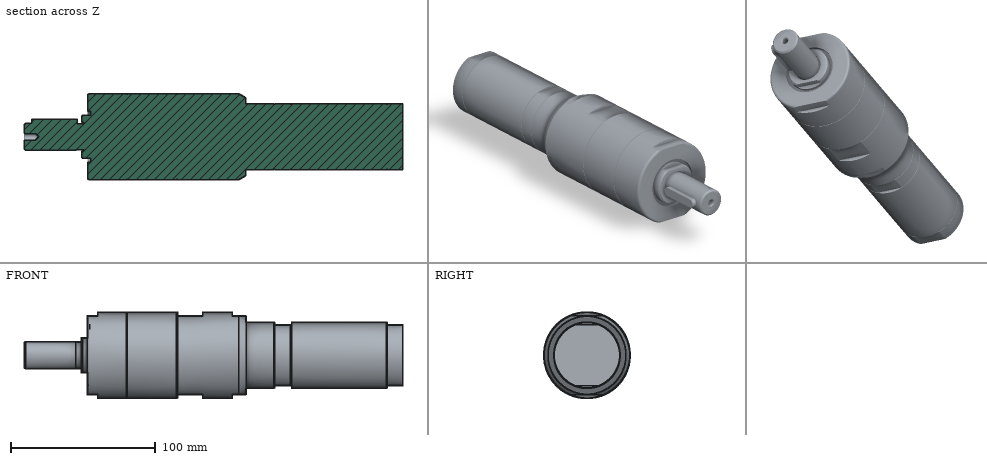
import cadquery as cq

length = 263.0
shaft_relief_start = 36.0
flange_start = 39.7
body_start = 44.0
front_flats_end = 51.0
front_joint = 71.0
middle_flats_start = 105.7
middle_flats_end = 124.0
rear_flats_start = 144.6
rear_bevel_start = 149.0
body_end = 154.0
neck_flats_start = 173.3
neck_flats_end = 185.7
end_flats_start = 251.5

shaft_diameter = 19.0
relief_diameter = 18.7
flange_diameter = 30.0
body_diameter = 60.0
body_rear_diameter = 54.2
tail_diameter = 46.0

flange_across_flats = 24.2
body_across_flats = 54.7
tail_across_flats = 42.0

shaft_chamfer = 1.0
flange_chamfer = 1.0
body_front_fillet = 1.5
joint_width = 0.8
joint_depth = 0.3

recess_diameter = 35.0
recess_depth = 2.0

bore_diameter = 20.0
bore_depth = 1.5

overlap = 2.5

key_start = 5.0
key_length = 32.0
key_width = 6.0
key_top = 12.4

centre_mouth_diameter = 5.5
centre_diameter = 4.2
centre_depth = 8.0


def cylinder(start, end, diameter):
    """Solid cylinder about the X axis between two stations."""
    return cq.Workplane("YZ", origin=(start, 0, 0)).circle(diameter / 2).extrude(end - start)


def cut_flats(solid, start, end, across):
    """Cut a pair of flats facing +Z and -Z between two stations."""
    for side in (1, -1):
        waste = cq.Workplane("XY").box(end - start, body_diameter, body_diameter)
        waste = waste.translate(((start + end) / 2, 0, side * (across + body_diameter) / 2))
        solid = solid.cut(waste)
    return solid


def cut_joint(solid, start, diameter):
    """Cut a shallow groove that marks the joint between two housings."""
    band = cylinder(start, start + joint_width, diameter + overlap)
    core = cylinder(start, start + joint_width, diameter - 2 * joint_depth)
    return solid.cut(band.cut(core))


def make_shaft():
    """Output shaft with a relief near the flange and a round-ended key."""
    shaft = cylinder(0, shaft_relief_start, shaft_diameter).faces("<X").chamfer(shaft_chamfer)
    shaft = shaft.union(cylinder(shaft_relief_start, body_start + overlap, relief_diameter))
    key = (
        cq.Workplane("XZ")
        .center(key_start + key_length / 2, 0)
        .slot2D(key_length, key_width)
        .extrude(-key_top)
    )
    return shaft.union(key)


def make_flange():
    """Flange with two flats; its round root sits in the body recess."""
    flange = cylinder(flange_start, body_start + overlap, flange_diameter)
    flange = flange.faces("<X").chamfer(flange_chamfer)
    flange = flange.cut(cylinder(flange_start, flange_start + bore_depth, bore_diameter))
    return cut_flats(flange, flange_start, body_start, flange_across_flats)


def make_body():
    """Main housing with three pairs of flats and a bevelled rear end."""
    body = (
        cq.Workplane("XY")
        .moveTo(body_start, 0)
        .lineTo(body_start, body_diameter / 2)
        .lineTo(rear_bevel_start, body_diameter / 2)
        .lineTo(body_end, body_rear_diameter / 2)
        .lineTo(body_end, 0)
        .close()
        .revolve(360, (0, 0, 0), (1, 0, 0))
    )
    body = body.faces("<X").edges().fillet(body_front_fillet)
    body = body.cut(cylinder(body_start, body_start + recess_depth, recess_diameter))
    body = cut_joint(body, front_joint, body_diameter)
    body = cut_joint(body, middle_flats_start, body_diameter)
    body = cut_flats(body, body_start, front_flats_end, body_across_flats)
    body = cut_flats(body, middle_flats_start + joint_width, middle_flats_end, body_across_flats)
    return cut_flats(body, rear_flats_start, body_end, body_across_flats)


def make_tail():
    """Slim rear housing with a pair of flats at its neck and at its end."""
    tail = cylinder(body_end - overlap, length, tail_diameter)
    for start in (neck_flats_start, neck_flats_end - joint_width, end_flats_start):
        tail = cut_joint(tail, start, tail_diameter)
    tail = cut_flats(tail, neck_flats_start + joint_width, neck_flats_end, tail_across_flats)
    return cut_flats(tail, end_flats_start + joint_width, length, tail_across_flats)


def make_centre_hole():
    """Drill shape with a 45 degree countersink and a 45 degree conical tip."""
    mouth_depth = (centre_mouth_diameter - centre_diameter) / 2
    tip_depth = centre_depth + centre_diameter / 2
    return (
        cq.Workplane("XY")
        .polyline([
            (0, 0),
            (0, centre_mouth_diameter / 2),
            (mouth_depth, centre_diameter / 2),
            (centre_depth, centre_diameter / 2),
            (tip_depth, 0),
        ])
        .close()
        .revolve(360, (0, 0, 0), (1, 0, 0))
    )


result = make_body().union(make_tail()).union(make_flange()).union(make_shaft())
result = result.cut(make_centre_hole())